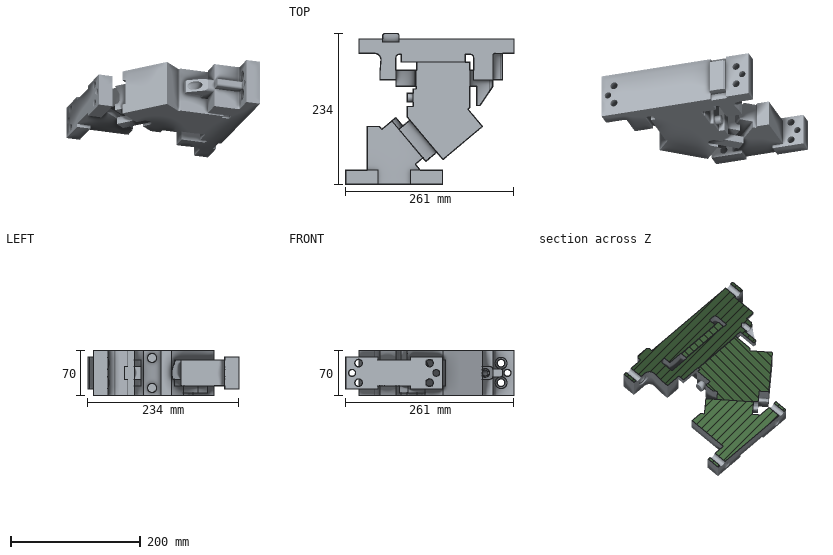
import cadquery as cq
import math


half_depth = 35.0
cam_half_depth = 20.0
bolt_offset = 15.1
bolt_radius = 5.7
dowel_radius = 5.2

cam_angle = 50.0
cam_sin = math.sin(math.radians(cam_angle))
cam_cos = math.cos(math.radians(cam_angle))

plate_length = 150.0
plate_height = 22.2
plate_half_depth = 25.0
plate_waist = 50.0
driver_bolt_inset = 20.0
driver_dowel_inset = 10.0
block_left = -41.8
block_top = 90.0
cam_level = 60.5
cam_start = -77.8
cam_end = -3.0
upper_shoulder = 40.5
lower_shoulder = 45.5
roof_height = 8.0
roof_half_flat = 5.5
relief_z = -10.0

slider_left = 35.0
slider_right = 117.5
slider_top = 189.5
neck_left = 34.2
recess_left = 29.5
foot_left = 20.0
recess_top = 148.0
recess_bottom = 121.0
foot_level = 82.7
foot_width = 79.9
foot_end = 19.0
foot_start = -16.0
shoe_start = -60.8
shoe_length = 65.0
shoe_end = shoe_start + shoe_length
shoe_groove_depth = 5.5
head_radius = 7.0
head_offset = 23.2
head_y = 134.7
collar_thickness = 1.5
hook_start = -43.3
hook_width = 19.5
hook_tip = 47.5
hook_bottom = -31.0
hook_slot_straight = 10.0

holder_left = -54.5
holder_overhang = 111.0
holder_right = plate_length / 2 + holder_overhang
holder_top = 225.5
flange_bottom = 203.0
leg_bottom = 162.0
left_leg_outer = -22.2
left_leg_root = -20.5
left_leg_inner = 3.0
right_leg_inner = 123.0
right_leg_outer = 153.0
taper_top = 192.4
taper_bottom = 173.0
left_root_radius = 10.0
right_root_radius = 3.1
pad_left = 10.7
pad_right = 110.5
relief_top = 201.5
relief_radius = 5.0
holder_bolt_inset = 20.4
holder_dowel_inset = 10.5
counterbore_radius = 9.1
counterbore_depth = 2.0
bar_bottom = 152.0
bar_top = 177.2
bar_half_depth = 10.0
latch_left = 128.0
latch_tip_width = 5.0
latch_bottom = 122.1
latch_radius = 5.0
latch_hole_x = 141.0
latch_hole_radius = 4.7
latch_bore_radius = 6.8
latch_bore_floor = 146.2
latch_hole_end = 156.5
rib_right = 168.0
rib_half_depth = 6.0
key_left = -17.7
key_width = 25.3
key_bottom = 220.8
key_top = 234.0
key_half_depth = 25.0
key_chamfer = 2.3


def cam_point(s, t):
    """X, Y of a point given along (s) and out of (t) the cam face."""
    return (s * cam_cos + t * cam_sin, t * cam_cos - s * cam_sin)


def cam_plane(z):
    """Plane at height z whose local axes are s and t."""
    return cq.Plane(origin=(0, 0, z), xDir=(cam_cos, -cam_sin, 0), normal=(0, 0, 1))


def cam_box(s_range, t_range, z_range):
    """Block aligned with the cam face."""
    (s0, s1), (t0, t1), (z0, z1) = s_range, t_range, z_range
    outline = [(s0, t0), (s1, t0), (s1, t1), (s0, t1)]
    return cq.Workplane(cam_plane(z0)).polyline(outline).close().extrude(z1 - z0)


def box(x_range, y_range, half_z):
    """Block along the main axes, centred on Z = 0."""
    (x0, x1), (y0, y1) = x_range, y_range
    return (
        cq.Workplane("XY")
        .box(x1 - x0, y1 - y0, 2 * half_z, centered=(False, False, True))
        .translate((x0, y0, 0))
    )


def prism(points, half_z):
    """XY outline extruded evenly to both sides of Z = 0."""
    return cq.Workplane("XY").polyline(points).close().extrude(half_z, both=True)


def y_rod(x, z, radius, y0, y1):
    """Cylinder parallel to Y."""
    start = cq.Vector(x, y0, z)
    return cq.Workplane(cq.Solid.makeCylinder(radius, y1 - y0, start, cq.Vector(0, 1, 0)))


def roof(s0, s1):
    """Cam roof with two sloping flanks, cut off square at relief_z."""
    flank_slope = roof_height / (cam_half_depth - roof_half_flat)
    cut_height = roof_height - flank_slope * (-relief_z - roof_half_flat)
    profile = [
        (cam_level, cam_half_depth),
        (cam_level + roof_height, roof_half_flat),
        (cam_level + roof_height, -roof_half_flat),
        (cam_level + cut_height, relief_z),
        (cam_level, relief_z),
    ]
    start = (s0 * cam_cos, -s0 * cam_sin, 0)
    plane = cq.Plane(origin=start, xDir=(cam_sin, cam_cos, 0), normal=(cam_cos, -cam_sin, 0))
    return cq.Workplane(plane).polyline(profile).close().extrude(s1 - s0)


def make_driver():
    half_length = plate_length / 2
    half_waist = plate_waist / 2

    plate = box((-half_length, half_length), (0, plate_height), cam_half_depth)
    for x0, x1 in ((-half_length, -half_waist), (half_waist, half_length)):
        plate = plate.union(box((x0, x1), (0, plate_height), plate_half_depth))

    s_at_top = (upper_shoulder * cam_cos - block_top) / cam_sin
    s_at_plate = (lower_shoulder * cam_cos - plate_height) / cam_sin
    plate_corner = cam_point(s_at_plate, lower_shoulder)
    block = prism(
        [
            (block_left, 0),
            (block_left, block_top),
            cam_point(s_at_top, upper_shoulder),
            cam_point(cam_start, upper_shoulder),
            cam_point(cam_start, cam_level),
            cam_point(cam_end, cam_level),
            cam_point(cam_end, lower_shoulder),
            plate_corner,
            (plate_corner[0], 0),
        ],
        cam_half_depth,
    )
    relief = cam_box((cam_start, cam_end), (lower_shoulder, cam_level), (-cam_half_depth, relief_z))
    driver = plate.union(block.cut(relief)).union(roof(cam_start, cam_end))

    for side in (-1, 1):
        bolt_x = side * (half_length - driver_bolt_inset)
        dowel_x = side * (half_length - driver_dowel_inset)
        driver = driver.cut(y_rod(dowel_x, 0, dowel_radius, 0, plate_height))
        for z in (-bolt_offset, bolt_offset):
            driver = driver.cut(y_rod(bolt_x, z, bolt_radius, 0, plate_height))
    return driver


def make_return_hook():
    """Hook beside the driver and the round-ended pocket that seats it."""
    hook_end = hook_start + hook_width
    hook = cam_box((hook_start, hook_end), (hook_tip, foot_level), (hook_bottom, -cam_half_depth))
    slot_end = foot_level + hook_slot_straight
    pocket = (
        cq.Workplane(cam_plane(-half_depth))
        .moveTo(hook_start, foot_level)
        .lineTo(hook_end, foot_level)
        .lineTo(hook_end, slot_end)
        .threePointArc((hook_start + hook_width / 2, slot_end + hook_width / 2), (hook_start, slot_end))
        .close()
        .extrude(half_depth + hook_bottom)
    )
    return hook, pocket


def make_slider():
    t_at_right = (slider_right - foot_start * cam_cos) / cam_sin
    s_at_left = (foot_left - foot_level * cam_sin) / cam_cos
    body = prism(
        [
            (slider_left, slider_top),
            (slider_right, slider_top),
            cam_point(foot_start, t_at_right),
            cam_point(foot_start, foot_level + foot_width),
            cam_point(foot_end, foot_level + foot_width),
            cam_point(foot_end, foot_level),
            cam_point(s_at_left, foot_level),
            (foot_left, recess_bottom),
            (recess_left, recess_bottom),
            (recess_left, recess_top),
            (neck_left, recess_top),
            (neck_left, bar_top),
            (slider_left, bar_top),
        ],
        half_depth,
    )

    cam_depth = (-cam_half_depth, cam_half_depth)
    groove = cam_box((shoe_end, foot_end), (foot_level, foot_level + shoe_groove_depth), cam_depth)
    shoe = cam_box((shoe_start, shoe_end), (cam_level, foot_level), cam_depth)
    slider = body.cut(groove).union(shoe.cut(roof(shoe_start, shoe_end)))

    hook, pocket = make_return_hook()
    slider = slider.cut(pocket).union(hook)

    for z in (-head_offset, head_offset):
        head_plane = cq.Workplane("YZ", origin=(foot_left, head_y, z))
        slider = slider.union(head_plane.circle(head_radius).extrude(recess_left - foot_left))

    collar_left = neck_left - collar_thickness
    slider = slider.union(box((collar_left, neck_left), (bar_bottom, bar_top), cam_half_depth))
    return slider.cut(box((collar_left, slider_right), (bar_bottom, bar_top), bar_half_depth))


def make_cross_bar():
    """Bar joining the two legs, with a land across the left leg and a hooked latch on the right."""
    latch = (
        prism(
            [
                (latch_left, bar_top),
                (latch_left, latch_bottom),
                (latch_left + latch_tip_width, latch_bottom),
                (right_leg_outer, bar_bottom),
                (right_leg_outer, bar_top),
            ],
            bar_half_depth,
        )
        .edges("|Y and >X")
        .fillet(latch_radius)
    )
    bore = y_rod(latch_hole_x, 0, latch_bore_radius, latch_bottom, latch_bore_floor)
    hole = y_rod(latch_hole_x, 0, latch_hole_radius, latch_bottom, latch_hole_end)
    cone_base = cq.Vector(latch_hole_x, latch_hole_end, 0)
    cone_height = latch_hole_radius
    cone = cq.Workplane(
        cq.Solid.makeCone(latch_hole_radius, 0, cone_height, cone_base, cq.Vector(0, 1, 0))
    )
    bar = box((left_leg_inner, latch_left), (bar_bottom, bar_top), bar_half_depth)
    land = box((left_leg_outer, left_leg_inner), (leg_bottom, bar_top), bar_half_depth)
    return bar.union(land).union(latch).cut(bore).cut(hole).cut(cone)


def make_holder():
    body = prism(
        [
            (holder_left, holder_top),
            (holder_left, flange_bottom),
            (left_leg_root, flange_bottom),
            (left_leg_root, taper_top),
            (left_leg_outer, taper_bottom),
            (left_leg_outer, leg_bottom),
            (left_leg_inner, leg_bottom),
            (left_leg_inner, relief_top),
            (pad_left, relief_top),
            (pad_left, slider_top),
            (pad_right, slider_top),
            (pad_right, relief_top),
            (right_leg_inner, relief_top),
            (right_leg_inner, leg_bottom),
            (right_leg_outer, leg_bottom),
            (right_leg_outer, flange_bottom),
            (holder_right, flange_bottom),
            (holder_right, holder_top),
        ],
        half_depth,
    )
    for x, y, radius in (
        (left_leg_root, flange_bottom, left_root_radius),
        (left_leg_inner, relief_top, relief_radius),
        (right_leg_inner, relief_top, relief_radius),
        (right_leg_outer, flange_bottom, right_root_radius),
    ):
        body = body.edges(cq.selectors.NearestToPointSelector((x, y, 0))).fillet(radius)

    for end_x, inward in ((holder_left, 1), (holder_right, -1)):
        bolt_x = end_x + inward * holder_bolt_inset
        dowel_x = end_x + inward * holder_dowel_inset
        body = body.cut(y_rod(dowel_x, 0, dowel_radius, flange_bottom, holder_top))
        for z in (-bolt_offset, bolt_offset):
            body = body.cut(y_rod(bolt_x, z, bolt_radius, flange_bottom, holder_top))
            counterbore_floor = flange_bottom + counterbore_depth
            body = body.cut(y_rod(bolt_x, z, counterbore_radius, leg_bottom, counterbore_floor))

    rib = (
        box((right_leg_outer, rib_right), (leg_bottom, flange_bottom), rib_half_depth)
        .edges("|Y and >X")
        .fillet(right_root_radius)
    )

    key_right = key_left + key_width
    key_slot = box((key_left, key_right), (key_bottom, holder_top), half_depth)
    key = (
        box((key_left, key_right), (key_bottom, key_top), key_half_depth)
        .edges("|Z and >Y")
        .chamfer(key_chamfer)
    )
    return body.union(rib).cut(key_slot).union(key).union(make_cross_bar())


driver = make_driver()
slider = make_slider()
holder = make_holder()

result = cq.Compound.makeCompound([driver.val(), slider.val(), holder.val()])